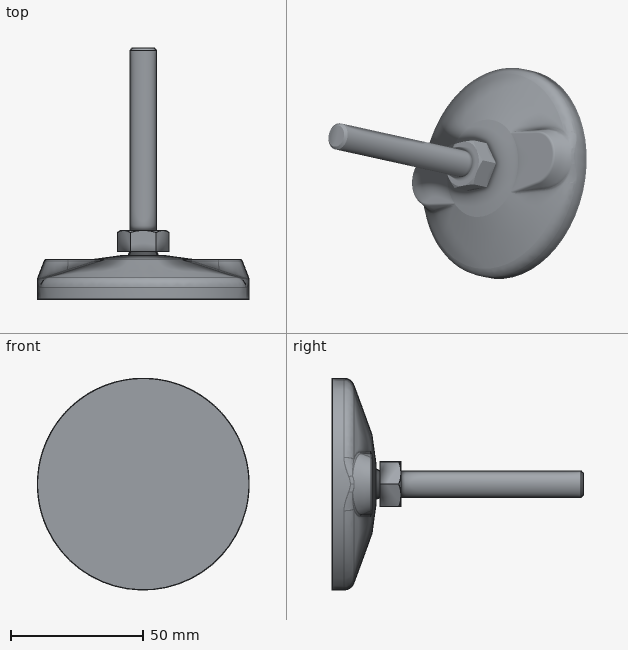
import cadquery as cq
import math


FOOT_RADIUS = 40.0
SHOULDER_RADIUS = 18.6
SHOULDER_Y = 15.1
FLANK_SLOPE = math.tan(math.radians(20))
CROWN_FLAT_RADIUS = 7.6
CROWN_FLAT_Y = 16.6
RIM_FILLET = 4.0

BOSS_END_X = 27.1
BOSS_END_RADIUS = 10.1
BOSS_SPLAY = math.radians(7.5)
BOSS_DRAFT = 21.0
BOSS_BOTTOM_Y = 3.7
BOSS_FILLET = 0.95

BLANK_RADIUS = 47.5
BLANK_CORE_RADIUS = 11.4
BLANK_RISE = 2.85

SPINDLE_END_Y = 95.0
STEM_RADIUS = 5.0
STEM_CHAMFER = 0.95
BALL_RADIUS = 6.0
BALL_CENTER_Y = 14.8
HEX_BOTTOM_Y = 18.05
HEX_HEIGHT = 8.0
HEX_FLATS = 17.0
HEX_CORNERS = HEX_FLATS / math.cos(math.radians(30))
HEX_CHAMFER_SLOPE = math.tan(math.radians(30))


def flank_y(radius):
    """Height of the steep flank cone at the given radius."""
    return SHOULDER_Y - (radius - SHOULDER_RADIUS) * FLANK_SLOPE


def upward_plane(y):
    """Workplane square to the part axis at height y, facing +Y."""
    return cq.Workplane(cq.Plane(origin=(0, y, 0), xDir=(1, 0, 0), normal=(0, 1, 0)))


def revolved(points):
    """Solid of revolution about Y from (radius, height) points."""
    return cq.Workplane("XY").polyline(points).close().revolve(360, (0, 0, 0), (0, 1, 0))


def boss_pair(top_y):
    """Both bosses as one drafted bar: rounded ends, widest at the middle."""
    rise = top_y - SHOULDER_Y
    end_radius = BOSS_END_RADIUS - rise * math.tan(math.radians(BOSS_DRAFT))
    mid_radius = end_radius + BOSS_END_X * math.sin(BOSS_SPLAY)
    end_x = BOSS_END_X + end_radius * math.sin(BOSS_SPLAY)
    end_z = end_radius * math.cos(BOSS_SPLAY)
    mid_x = mid_radius * math.sin(BOSS_SPLAY)
    mid_z = mid_radius * math.cos(BOSS_SPLAY)
    tip_x = BOSS_END_X + end_radius
    return (
        cq.Workplane("XZ", origin=(0, top_y, 0))
        .moveTo(mid_x, -mid_z)
        .lineTo(end_x, -end_z)
        .threePointArc((tip_x, 0), (end_x, end_z))
        .lineTo(mid_x, mid_z)
        .threePointArc((0, mid_radius), (-mid_x, mid_z))
        .lineTo(-end_x, end_z)
        .threePointArc((-tip_x, 0), (-end_x, -end_z))
        .lineTo(-mid_x, -mid_z)
        .threePointArc((0, -mid_radius), (mid_x, -mid_z))
        .close()
        .extrude(top_y - BOSS_BOTTOM_Y, taper=-BOSS_DRAFT)
    )


def foot_blank():
    """Oversize flank cone with the bosses standing on it, filleted around their roots."""
    cone = revolved([
        (0, 0),
        (BLANK_RADIUS, 0),
        (BLANK_RADIUS, flank_y(BLANK_RADIUS)),
        (BLANK_CORE_RADIUS, flank_y(BLANK_CORE_RADIUS)),
        (0, flank_y(BLANK_CORE_RADIUS)),
    ])
    blank = cone.union(boss_pair(SHOULDER_Y + BLANK_RISE))
    return blank.edges("%BSPLINE or %HYPERBOLA").fillet(BOSS_FILLET)


def foot_envelope():
    """Final limits of the foot: outer cylinder, crown and rounded boss tops."""
    rounding_y = SHOULDER_Y - BOSS_FILLET * (1 - math.sin(math.radians(BOSS_DRAFT)))
    rounding_radius = SHOULDER_RADIUS + (SHOULDER_Y - rounding_y) / FLANK_SLOPE
    disc_and_crown = revolved([
        (0, 0),
        (FOOT_RADIUS, 0),
        (FOOT_RADIUS, rounding_y),
        (rounding_radius, rounding_y),
        (SHOULDER_RADIUS, SHOULDER_Y),
        (CROWN_FLAT_RADIUS, CROWN_FLAT_Y),
        (0, CROWN_FLAT_Y),
    ])
    bosses = boss_pair(SHOULDER_Y).faces(">Y").edges().fillet(BOSS_FILLET)
    outer = upward_plane(0).circle(FOOT_RADIUS).extrude(CROWN_FLAT_Y)
    return disc_and_crown.union(bosses.intersect(outer))


def make_foot():
    foot = foot_blank().intersect(foot_envelope())
    outer_wall = foot.faces("%CYLINDER").faces(cq.selectors.AreaNthSelector(-1))
    rim = outer_wall.edges("not (<Y or %LINE)")
    foot = foot.newObject(rim.vals()).fillet(RIM_FILLET)
    return foot.cut(make_ball())


def make_ball():
    """Ball end of the spindle, which also forms its socket in the foot."""
    return cq.Workplane("XY").sphere(BALL_RADIUS).translate((0, BALL_CENTER_Y, 0))


def make_hex():
    """Hexagon with corners towards -X and +X, chamfered on its upper side."""
    hex_top_y = HEX_BOTTOM_Y + HEX_HEIGHT
    flat_radius = HEX_FLATS / 2
    corner_radius = HEX_CORNERS / 2
    chamfer_y = hex_top_y - (corner_radius - flat_radius) * HEX_CHAMFER_SLOPE
    chamfer = revolved([
        (0, HEX_BOTTOM_Y),
        (corner_radius, HEX_BOTTOM_Y),
        (corner_radius, chamfer_y),
        (flat_radius, hex_top_y),
        (0, hex_top_y),
    ])
    prism = upward_plane(HEX_BOTTOM_Y).polygon(6, HEX_CORNERS).extrude(HEX_HEIGHT)
    return prism.intersect(chamfer)


def make_spindle():
    stem = (
        upward_plane(BALL_CENTER_Y)
        .circle(STEM_RADIUS)
        .extrude(SPINDLE_END_Y - BALL_CENTER_Y)
        .faces(">Y")
        .chamfer(STEM_CHAMFER)
    )
    return make_ball().union(stem).union(make_hex())


foot = make_foot().solids()
spindle = make_spindle().solids()

result = cq.Compound.makeCompound([foot.val(), spindle.val()])